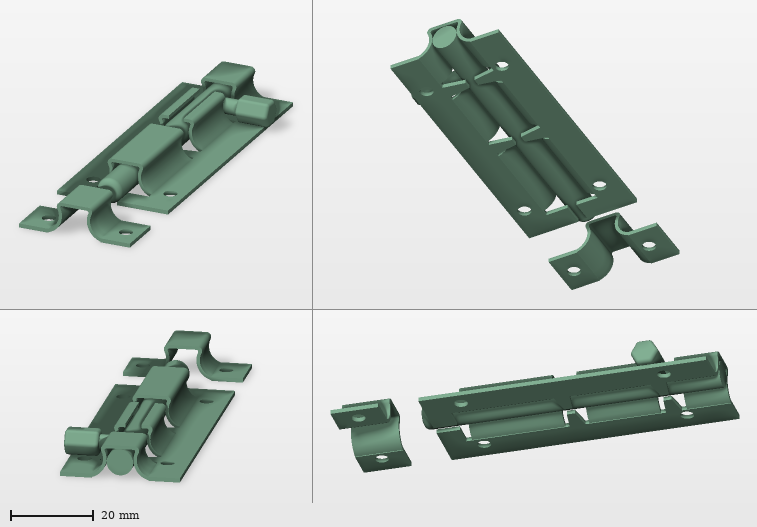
import cadquery as cq
import math


sheet = 1.0
sheet_half_width = 14.8
rear_y = 47.35
plate_front_y = -25.2
plate_gap = 2.5
strike_rear_y = -35.3
strike_front_y = -47.35

bolt_dia = 6.5
bolt_tip_dia = 3.4
bolt_front_y = -28.0
axis_z = 4.3
handle_y = 32.0
stem_dia = 4.0
knob_start_x = 7.7
knob_length = 8.5
knob_flats = 6.2
knob_edge_radius = 0.9
knob_end_radius = 0.85

arch_height = 8.5
arch_sheet = 0.85
foot_x = 7.0
waist_x = 4.2
waist_z = 5.0
outer_corner_radius = 1.1
inner_corner_radius = 0.5

rear_guide = (rear_y, 36.4)
middle_guide = (29.7, 11.7)
front_guide = (5.7, -17.8)
middle_slit = 4.0

opening_front_y = -19.3
tongue_root_width = 4.0
tongue_tip_width = 2.1

hole_dia = 3.4
hole_xs = (-9.6, 11.0)
plate_hole_ys = (35.6, -15.5)

foot_rise = waist_z - sheet
foot_run = foot_x - waist_x
wall_radius = (foot_rise**2 + foot_run**2) / (2 * foot_run)
wall_centre_x = waist_x + wall_radius


def wall_foot_z(radius):
    """Height at which a wall surface of the given radius meets the end of the foot."""
    return waist_z - math.sqrt(radius**2 - (wall_centre_x - foot_x) ** 2)


def corner_points(wall, corner, top_z):
    """Start, middle and end of a rounded corner between a wall surface and a flat top."""
    centre_z = top_z - corner
    reach = wall + corner
    drop = math.asin((centre_z - waist_z) / reach)
    centre_x = wall_centre_x - reach * math.cos(drop)
    angles = (-drop, (math.pi / 2 - drop) / 2, math.pi / 2)
    return [(centre_x + corner * math.cos(a), centre_z + corner * math.sin(a)) for a in angles]


def extrude_along_y(profile, span):
    """Extrude an XZ profile over a (rear y, front y) span."""
    rear, front = span
    return profile.extrude(rear - front).translate((0, rear, 0))


def half_arch(span, start_x):
    """The +X half of the arch, its flat top starting at start_x."""
    inner_radius = wall_radius + arch_sheet
    inner_top = arch_height - arch_sheet
    out_low, out_mid, out_top = corner_points(wall_radius, outer_corner_radius, arch_height)
    in_low, in_mid, in_top = corner_points(inner_radius, inner_corner_radius, inner_top)
    profile = (
        cq.Workplane("XZ")
        .moveTo(foot_x, sheet)
        .threePointArc((waist_x, waist_z), out_low)
        .threePointArc(out_mid, out_top)
        .lineTo(start_x, arch_height)
        .lineTo(start_x, inner_top)
        .lineTo(*in_top)
        .threePointArc(in_mid, in_low)
        .threePointArc((waist_x - arch_sheet, waist_z), (foot_x, wall_foot_z(inner_radius)))
        .close()
    )
    return extrude_along_y(profile, span)


def mirrored(half):
    """The same shape on the other side of the bolt axis."""
    return half.mirror("YZ")


def arch(span):
    """Complete arch with both walls and a closed top."""
    half = half_arch(span, 0)
    return half.union(mirrored(half))


def screw_holes(y):
    """Cutters for the two screw holes at one y."""
    return cq.Workplane("XY").pushPoints([(x, y) for x in hole_xs]).circle(hole_dia / 2).extrude(sheet)


def tongue(rear_span, front_span):
    """Tapered tongue midway between two guides, reaching in towards the bolt axis."""
    y = (rear_span[1] + front_span[0]) / 2
    root = tongue_root_width / 2
    tip = tongue_tip_width / 2
    tip_x = plate_gap / 2
    outline = [(foot_x, y - root), (foot_x, y + root), (tip_x, y + tip), (tip_x, y - tip)]
    return cq.Workplane("XY").polyline(outline).close().extrude(sheet)


def half_plate():
    """The +X base plate: side strip, front strip and two tongues, without holes."""
    outline = [
        (foot_x, rear_y),
        (sheet_half_width, rear_y),
        (sheet_half_width, plate_front_y),
        (plate_gap / 2, plate_front_y),
        (plate_gap / 2, opening_front_y),
        (foot_x, opening_front_y),
    ]
    plate = cq.Workplane("XY").polyline(outline).close().extrude(sheet)
    return plate.union(tongue(rear_guide, middle_guide)).union(tongue(middle_guide, front_guide))


def base_plates():
    """Left and right base plates with their screw holes."""
    plates = [mirrored(half_plate()), half_plate()]
    for y in plate_hole_ys:
        plates = [plate.cut(screw_holes(y)) for plate in plates]
    return plates


def strike_keeper():
    """Arch with a flange on each side, one screw hole in each flange."""
    span = (strike_rear_y, strike_front_y)
    corners = [(foot_x, 0), (sheet_half_width, 0), (sheet_half_width, sheet), (foot_x, sheet)]
    flange = extrude_along_y(cq.Workplane("XZ").polyline(corners).close(), span)
    keeper = arch(span).union(flange).union(mirrored(flange))
    return keeper.cut(screw_holes((strike_rear_y + strike_front_y) / 2))


def knob():
    """Hexagonal grip with all its edges rounded, flats facing up and down."""
    corner_dia = knob_flats / math.cos(math.pi / 6)
    return (
        cq.Workplane("YZ", origin=(knob_start_x, handle_y, axis_z))
        .polygon(6, corner_dia)
        .extrude(knob_length)
        .edges("|X")
        .fillet(knob_edge_radius)
        .faces("<X or >X")
        .edges()
        .fillet(knob_end_radius)
    )


def sliding_bolt():
    """Round bar with a rounded nose, carrying a stem and knob on its +X side."""
    bar = (
        cq.Workplane("XZ", origin=(0, rear_y, axis_z))
        .circle(bolt_dia / 2)
        .extrude(rear_y - bolt_front_y)
        .faces("<Y")
        .edges()
        .fillet((bolt_dia - bolt_tip_dia) / 2)
    )
    stem = (
        cq.Workplane("YZ", origin=(0, handle_y, axis_z))
        .circle(stem_dia / 2)
        .extrude(knob_start_x)
    )
    return bar.union(stem).union(knob())


left_plate, right_plate = base_plates()
closed_guides = [arch(span) for span in (rear_guide, front_guide)]
right_middle_guide = half_arch(middle_guide, middle_slit / 2)
left_middle_guide = mirrored(right_middle_guide)
bolt = sliding_bolt()
strike = strike_keeper()

result = cq.Compound.makeCompound(
    [
        left_plate.val(),
        right_plate.val(),
        *[guide.val() for guide in closed_guides],
        left_middle_guide.val(),
        right_middle_guide.val(),
        bolt.val(),
        strike.val(),
    ]
)